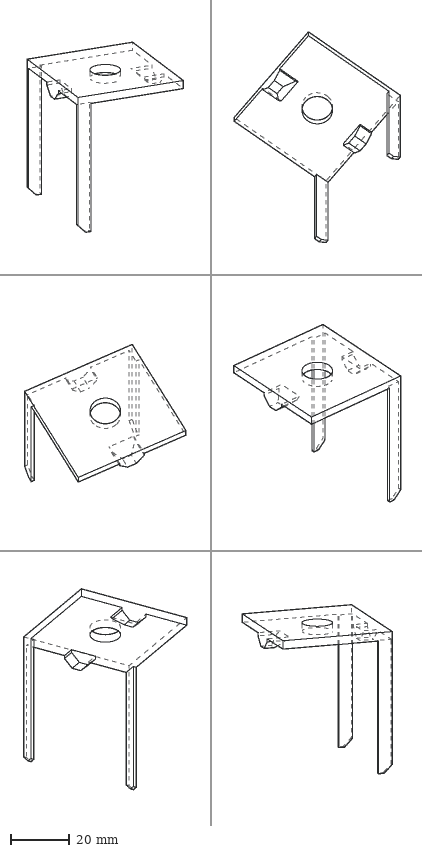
import cadquery as cq

width = 41.8
depth = 40.0
height = 50.0

plate_thickness = 3.0
hole_diameter = 10.5

leg_thickness = 1.2
leg_depth = 5.0
leg_chamfer = 3.0

lug_width = 9.5
lug_drop = 4.15
lug_side_height = 1.1
lug_chamfer = lug_drop - lug_side_height
rear_lug_length = 8.0
rear_lug_tip_length = rear_lug_length - lug_drop
front_lug_length = leg_depth

front = -depth / 2
rear = depth / 2
plate_bottom = height - plate_thickness
lug_tip_z = plate_bottom - lug_drop


def make_plate():
    return (
        cq.Workplane("XY", origin=(0, 0, plate_bottom))
        .rect(width, depth)
        .circle(hole_diameter / 2)
        .extrude(plate_thickness)
    )


def make_leg(inner_x):
    """Leg profile in the YZ plane, with its lower front corner cut at 45 degrees."""
    return (
        cq.Workplane("YZ", origin=(inner_x, 0, 0))
        .moveTo(front, height)
        .lineTo(front, leg_chamfer)
        .lineTo(front + leg_chamfer, 0)
        .lineTo(front + leg_depth, 0)
        .lineTo(front + leg_depth, height)
        .close()
        .extrude(leg_thickness)
    )


def make_lug_bar(start_y, length):
    """Straight bar along Y with vertical upper sides and chamfered lower sides."""
    half_width = lug_width / 2
    half_tip = half_width - lug_chamfer
    side_z = plate_bottom - lug_side_height
    return (
        cq.Workplane("XZ", origin=(0, start_y + length, 0))
        .moveTo(-half_width, plate_bottom)
        .lineTo(-half_width, side_z)
        .lineTo(-half_tip, lug_tip_z)
        .lineTo(half_tip, lug_tip_z)
        .lineTo(half_width, side_z)
        .lineTo(half_width, plate_bottom)
        .close()
        .extrude(length)
    )


def make_rear_lug():
    """Lug flush with the rear edge, its inner end sloping at 45 degrees."""
    side_profile = (
        cq.Workplane("YZ")
        .moveTo(rear, plate_bottom)
        .lineTo(rear - rear_lug_length, plate_bottom)
        .lineTo(rear - rear_lug_tip_length, lug_tip_z)
        .lineTo(rear, lug_tip_z)
        .close()
        .extrude(lug_width / 2, both=True)
    )
    return make_lug_bar(rear - rear_lug_length, rear_lug_length).intersect(side_profile)


result = make_plate().union(make_rear_lug())
result = result.union(make_lug_bar(front, front_lug_length))
for leg_x in (-width / 2, width / 2 - leg_thickness):
    result = result.union(make_leg(leg_x))